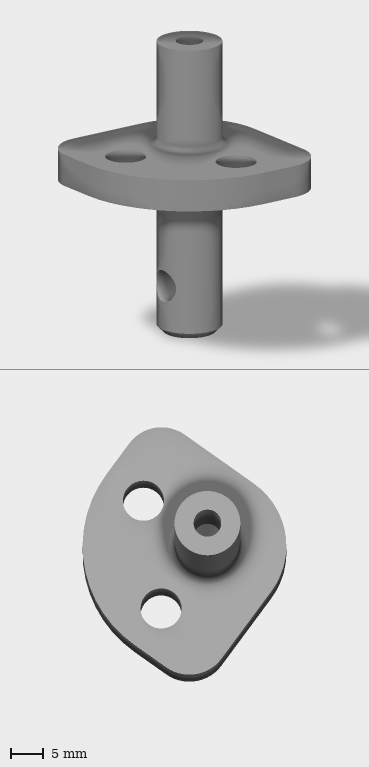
import cadquery as cq
import math

total_length = 46.2
lower_length = 25.0
plate_thickness = 5.0
upper_length = total_length - lower_length - plate_thickness
shaft_diameter = 10.03
root_fillet = 1.0
tip_chamfer = 1.0

near_reach = 12.0
far_reach = 19.0
side_corner_radius = 6.0
plate_hole_diameter = 6.25
plate_hole_offset = 12.0

cross_hole_diameter = 5.0
cross_hole_height = 8.0
bore_diameter = 4.2
bore_depth = 10.03
drill_point_angle = 118.0


def make_plate():
    near_mid = near_reach * math.sqrt(0.5)
    far_mid = far_reach * math.sqrt(0.5)
    return (
        cq.Workplane("XY")
        .moveTo(0, near_reach)
        .lineTo(far_reach, near_reach)
        .lineTo(far_reach, 0)
        .threePointArc((far_mid, -far_mid), (0, -far_reach))
        .lineTo(-near_reach, -far_reach)
        .lineTo(-near_reach, 0)
        .threePointArc((-near_mid, near_mid), (0, near_reach))
        .close()
        .extrude(plate_thickness)
        .edges(cq.selectors.NearestToPointSelector((far_reach, near_reach, plate_thickness / 2)))
        .fillet(side_corner_radius)
        .edges(cq.selectors.NearestToPointSelector((-near_reach, -far_reach, plate_thickness / 2)))
        .fillet(side_corner_radius)
        .faces(">Z")
        .workplane(origin=(0, 0, 0))
        .pushPoints([(plate_hole_offset, 0), (0, -plate_hole_offset)])
        .hole(plate_hole_diameter)
    )


def make_shaft():
    """Revolve the shaft with its tip chamfer and the fillets that meet the plate."""
    radius = shaft_diameter / 2
    flare = radius + root_fillet
    arc_inset = root_fillet * (1 - math.sqrt(0.5))
    plate_top = plate_thickness
    top = plate_top + upper_length
    return (
        cq.Workplane("XZ")
        .moveTo(0, -lower_length)
        .lineTo(radius - tip_chamfer, -lower_length)
        .lineTo(radius, -lower_length + tip_chamfer)
        .lineTo(radius, -root_fillet)
        .threePointArc((radius + arc_inset, -arc_inset), (flare, 0))
        .lineTo(flare, plate_top)
        .threePointArc((radius + arc_inset, plate_top + arc_inset), (radius, plate_top + root_fillet))
        .lineTo(radius, top)
        .lineTo(0, top)
        .close()
        .revolve(360, (0, 0, 0), (0, 1, 0))
    )


def make_bore():
    """Blind drilled hole with a conical bottom, opening at the upper end."""
    radius = bore_diameter / 2
    top = plate_thickness + upper_length
    bottom = top - bore_depth
    point_length = radius / math.tan(math.radians(drill_point_angle / 2))
    return (
        cq.Workplane("XZ")
        .polyline([(0, top), (radius, top), (radius, bottom), (0, bottom - point_length)])
        .close()
        .revolve(360, (0, 0, 0), (0, 1, 0))
    )


def make_cross_hole():
    return (
        cq.Workplane("XZ")
        .center(0, cross_hole_height - lower_length)
        .circle(cross_hole_diameter / 2)
        .extrude(shaft_diameter, both=True)
    )


result = make_plate().union(make_shaft()).cut(make_bore()).cut(make_cross_hole())